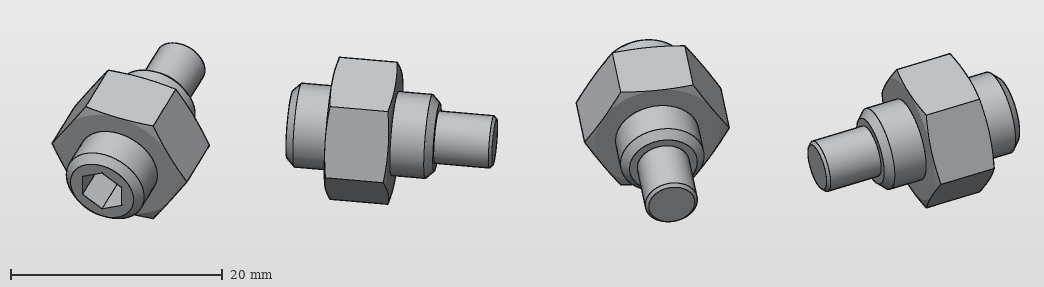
import cadquery as cq
import math

TOTAL_LENGTH = 19.5
THREAD_DIAMETER = 8.0
THREAD_LENGTH = 14.0
THREAD_CHAMFER = 0.76
NOSE_DIAMETER = 5.0
NOSE_CHAMFER = 0.3

SOCKET_FLATS = 4.0
SOCKET_DEPTH = 4.0

NUT_FLATS = 12.0
NUT_THICKNESS = 6.0
NUT_START = 4.0
NUT_CHAMFER_ANGLE = 15.0


def corner_diameter(flats):
    """Across-corners size of a hexagon with the given across-flats size."""
    return flats / math.cos(math.radians(30))


def plane_at(y):
    """Plane across the axis at height y, facing +Y, with local X along -X."""
    return cq.Plane(origin=(0, y, 0), xDir=(-1, 0, 0), normal=(0, 1, 0))


def cylinder(start, end, diameter):
    return cq.Workplane(plane_at(start)).circle(diameter / 2).extrude(end - start)


def make_plunger():
    thread = cylinder(0, THREAD_LENGTH, THREAD_DIAMETER)
    thread = thread.faces("<Y or >Y").chamfer(THREAD_CHAMFER)
    nose = cylinder(THREAD_LENGTH, TOTAL_LENGTH, NOSE_DIAMETER)
    nose = nose.faces(">Y").chamfer(NOSE_CHAMFER)

    socket = (
        cq.Workplane(plane_at(0))
        .transformed(rotate=(0, 0, 90))
        .polygon(6, corner_diameter(SOCKET_FLATS))
        .extrude(SOCKET_DEPTH)
    )
    return thread.union(nose).cut(socket)


def make_nut():
    corner_radius = corner_diameter(NUT_FLATS) / 2
    end = NUT_START + NUT_THICKNESS
    hexagon = cq.Workplane(plane_at(NUT_START)).polygon(6, 2 * corner_radius).extrude(NUT_THICKNESS)

    face_radius = NUT_FLATS / 2
    chamfer_height = (corner_radius - face_radius) * math.tan(math.radians(NUT_CHAMFER_ANGLE))
    envelope = (
        cq.Workplane("XY")
        .moveTo(0, NUT_START)
        .lineTo(face_radius, NUT_START)
        .lineTo(corner_radius, NUT_START + chamfer_height)
        .lineTo(corner_radius, end - chamfer_height)
        .lineTo(face_radius, end)
        .lineTo(0, end)
        .close()
        .revolve(360, (0, 0, 0), (0, 1, 0))
    )
    bore = cylinder(NUT_START, end, THREAD_DIAMETER)
    return hexagon.intersect(envelope).cut(bore)


plunger = make_plunger()
nut = make_nut()

result = cq.Compound.makeCompound([plunger.val(), nut.val()])